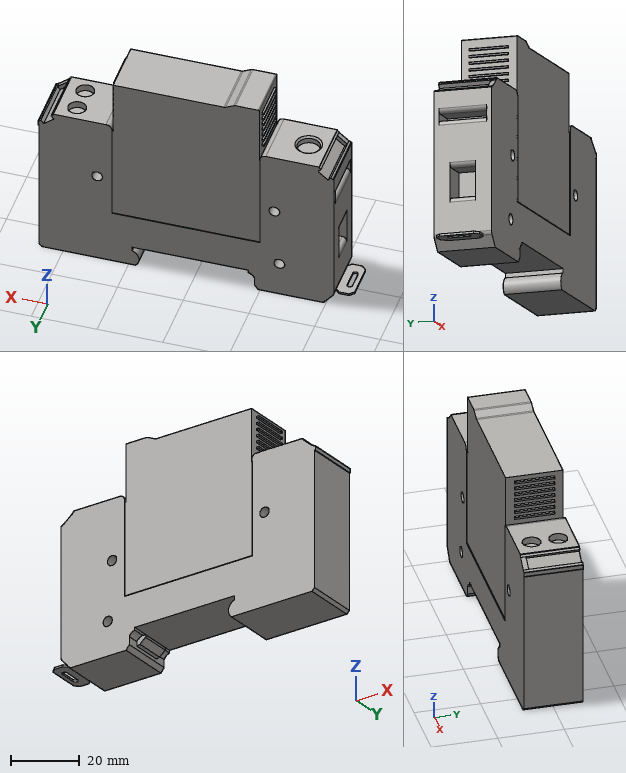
import cadquery as cq
import math

total_length = 95.3
total_height = 67.7
body_width = 17.8

body_left = 5.2
body_right = 95.0
shoulder_height = 51.0
shoulder_left = 9.7
shoulder_right = 90.7
corner_height = 47.3
slope_step = 0.3
lip_bottom = 45.8
foot_chamfer_run = 3.1
foot_chamfer_rise = 3.7
foot_rounding = 1.7
foot_corner = 1.0

notch_left = 31.35
notch_right = 66.6
notch_top = 6.6
left_jaw_x = 29.4
left_jaw_top = 4.1
left_jaw_bottom = 1.5
left_jaw_foot_x = 28.3
left_jaw_mid = (30.2, 5.1)
right_jaw_x = 64.6
right_jaw_height = 2.9
right_jaw_top = 5.2
right_jaw_foot_x = 65.6
jaw_ledge = 5.7

cartridge_left = 28.0
cartridge_right = 72.5
cartridge_gap = 0.3
cartridge_bottom = 17.9
cartridge_seat_top = 48.8
cartridge_top = 66.2
peak_end = 35.5
ramp_end = 38.5
ramp_rounding = 1.1
top_edge_rounding = 0.3
cartridge_width = body_width - 2 * cartridge_gap

rounding_run = 1.8
rounding_drop = 1.5

rib_count = 7
rib_pitch = 2.0
rib_thickness = 0.6
rib_length = 12.0
first_rib_height = 64.4
left_rib_reach = 0.7
right_rib_reach = 0.8

cross_hole_diameter = 3.2
cross_holes = [(23.3, 30.8), (77.3, 30.8), (21.8, 11.3)]

large_well_x = 15.6
large_well_diameter = 6.9
large_well_chamfer = 0.6
small_well_x = 84.9
small_well_spacing = 8.0
small_well_diameter = 5.4
well_depth = 2.2

window_depth = 7.6
window_rounding = 1.4
upper_window = {"width": 14.8, "bottom": 37.1, "top": 42.0}
lower_window = {"width": 7.8, "bottom": 13.8, "top": 25.6}

recess_depth = 1.3
recess_margin = 0.8
recess_side_wall = 1.6
recess_wall_drop = 0.1

tab_end = 5.7
tab_width = 13.2
tab_thickness = 0.7
tab_bottom = 2.6
tab_corner = 1.3
neck_width = 10.0
tab_slot_x = 2.3
tab_slot_length = 7.05
tab_slot_width = 1.6
latch_root_x = 28.3
latch_outline = [
    (latch_root_x, 2.3),
    (30.5, 3.0),
    (32.5, 4.7),
    (32.8, 5.2),
    (31.5, 5.7),
    (latch_root_x, 4.1),
]


def plate(profile, width):
    """Extrude an XZ profile evenly to both sides of the middle plane."""
    return profile.extrude(width / 2, both=True)


def make_housing():
    seat_left = cartridge_left - cartridge_gap
    seat_right = cartridge_right + cartridge_gap
    seat_edge = shoulder_height - rounding_drop
    diagonal = math.sqrt(0.5)
    round_x = rounding_run * (1 - diagonal)
    round_z = shoulder_height - rounding_drop * (1 - diagonal)
    profile = (
        cq.Workplane("XZ")
        .moveTo(body_left + foot_chamfer_run, 0)
        .lineTo(body_left, foot_chamfer_rise)
        .lineTo(body_left, corner_height)
        .lineTo(body_left + slope_step, corner_height)
        .lineTo(shoulder_left, shoulder_height - slope_step)
        .lineTo(shoulder_left, shoulder_height)
        .lineTo(seat_left - rounding_run, shoulder_height)
        .threePointArc((seat_left - round_x, round_z), (seat_left, seat_edge))
        .lineTo(seat_left, cartridge_bottom)
        .lineTo(seat_right, cartridge_bottom)
        .lineTo(seat_right, seat_edge)
        .threePointArc((seat_right + round_x, round_z), (seat_right + rounding_run, shoulder_height))
        .lineTo(shoulder_right, shoulder_height)
        .lineTo(shoulder_right, shoulder_height - slope_step)
        .lineTo(total_length - slope_step, corner_height)
        .lineTo(total_length, corner_height)
        .lineTo(total_length, lip_bottom)
        .lineTo(body_right, lip_bottom)
        .lineTo(body_right, foot_corner)
        .lineTo(body_right - foot_corner, 0)
        .lineTo(right_jaw_foot_x, 0)
        .threePointArc((right_jaw_x, right_jaw_height), (notch_right, right_jaw_top))
        .lineTo(notch_right, notch_top)
        .lineTo(notch_left, notch_top)
        .lineTo(notch_left, jaw_ledge)
        .threePointArc(left_jaw_mid, (left_jaw_x, left_jaw_top))
        .lineTo(left_jaw_x, left_jaw_bottom)
        .lineTo(left_jaw_foot_x, 0)
        .close()
    )
    foot_edge = cq.selectors.NearestToPointSelector((body_left, 0, foot_chamfer_rise))
    return plate(profile, body_width).edges(foot_edge).fillet(foot_rounding)


def make_cartridge():
    profile = (
        cq.Workplane("XZ")
        .moveTo(cartridge_left - cartridge_gap, cartridge_bottom)
        .lineTo(cartridge_left - cartridge_gap, cartridge_seat_top)
        .lineTo(cartridge_left, cartridge_seat_top)
        .lineTo(cartridge_left, total_height)
        .lineTo(peak_end, total_height)
        .lineTo(ramp_end, cartridge_top)
        .lineTo(cartridge_right, cartridge_top)
        .lineTo(cartridge_right, cartridge_seat_top)
        .lineTo(cartridge_right + cartridge_gap, cartridge_seat_top)
        .lineTo(cartridge_right + cartridge_gap, cartridge_bottom)
        .close()
    )
    block = plate(profile, cartridge_width)
    for ramp_edge in [(peak_end, 0, total_height), (ramp_end, 0, cartridge_top)]:
        block = block.edges(cq.selectors.NearestToPointSelector(ramp_edge)).fillet(ramp_rounding)
    top_left_edge = cq.selectors.NearestToPointSelector((cartridge_left, 0, total_height))
    return block.edges(top_left_edge).fillet(top_edge_rounding)


def make_ribs():
    """Each rib runs through the cartridge and stands out at both ends."""
    rib_start = cartridge_left - left_rib_reach
    rib_end = cartridge_right + right_rib_reach
    rows = [((rib_start + rib_end) / 2, first_rib_height - i * rib_pitch) for i in range(rib_count)]
    profile = cq.Workplane("XZ").pushPoints(rows).rect(rib_end - rib_start, rib_thickness)
    return plate(profile, rib_length)


def make_cross_holes():
    return plate(cq.Workplane("XZ").pushPoints(cross_holes).circle(cross_hole_diameter / 2), body_width)


def make_wells():
    shoulder = cq.Workplane("XY").workplane(offset=shoulder_height)
    large_radius = large_well_diameter / 2
    large_well = shoulder.center(large_well_x, 0).circle(large_radius).extrude(-well_depth)
    mouth = cq.Workplane(
        cq.Solid.makeCone(
            large_radius,
            large_radius + large_well_chamfer,
            large_well_chamfer,
            pnt=cq.Vector(large_well_x, 0, shoulder_height - large_well_chamfer),
        )
    )
    half_spacing = small_well_spacing / 2
    small_wells = (
        shoulder.pushPoints([(small_well_x, -half_spacing), (small_well_x, half_spacing)])
        .circle(small_well_diameter / 2).extrude(-well_depth)
    )
    return large_well.union(mouth).union(small_wells)


def make_window(width, bottom, top):
    """Window cutter whose top and bottom edges flare out to the left side in quarter rounds."""
    radius = window_rounding
    sag = radius * (1 - math.sqrt(0.5))
    back = body_left + window_depth
    profile = (
        cq.Workplane("XZ")
        .moveTo(body_left, bottom)
        .threePointArc((body_left + sag, bottom + radius - sag), (body_left + radius, bottom + radius))
        .lineTo(back, bottom + radius)
        .lineTo(back, top - radius)
        .lineTo(body_left + radius, top - radius)
        .threePointArc((body_left + sag, top - radius + sag), (body_left, top))
        .close()
    )
    return plate(profile, width)


def make_marker_recess(low_x, high_x):
    """Pocket square to the slope that climbs from the corner at low_x to high_x."""
    run = high_x - low_x
    rise = shoulder_height - slope_step - corner_height
    slope_length = math.hypot(run, rise)
    along = (run / slope_length, rise / slope_length)
    inward = (along[1] * math.copysign(1, run), -abs(along[0]))

    def point(distance, depth):
        return (
            low_x + along[0] * distance + inward[0] * depth,
            corner_height + along[1] * distance + inward[1] * depth,
        )

    def pocket(depth, front):
        start = recess_margin
        end = slope_length - recess_margin
        outline = [point(start, -depth), point(end, -depth), point(end, depth), point(start, depth)]
        profile = cq.Workplane("XZ", origin=(0, front, 0)).polyline(outline).close()
        return profile.extrude(front - body_width / 2)

    front = -body_width / 2
    return pocket(recess_wall_drop, front).union(pocket(recess_depth, front + recess_side_wall))


def make_latch():
    """Hooked nose that reaches from the left jaw into the rail notch."""
    profile = cq.Workplane("XZ").polyline(latch_outline).close()
    return plate(profile, neck_width)


def make_tab():
    plane = cq.Workplane("XY").workplane(offset=tab_bottom)
    head = (
        plane.center(tab_end / 2, 0).rect(tab_end, tab_width).extrude(tab_thickness)
        .edges("|Z").chamfer(tab_corner)
    )
    neck_start = tab_end / 2
    neck_end = latch_root_x
    neck = (
        plane.center((neck_start + neck_end) / 2, 0)
        .rect(neck_end - neck_start, neck_width).extrude(tab_thickness)
    )
    slot = (
        plane.center(tab_slot_x, 0).slot2D(tab_slot_length, tab_slot_width, 90).extrude(tab_thickness)
    )
    return head.union(neck).cut(slot)


housing = (
    make_housing()
    .cut(make_cross_holes())
    .cut(make_wells())
    .cut(make_window(**upper_window))
    .cut(make_window(**lower_window))
    .cut(make_marker_recess(body_left + slope_step, shoulder_left))
    .cut(make_marker_recess(total_length - slope_step, shoulder_right))
)
cartridge = make_cartridge().union(make_ribs())
result = housing.union(cartridge).union(make_tab()).union(make_latch())